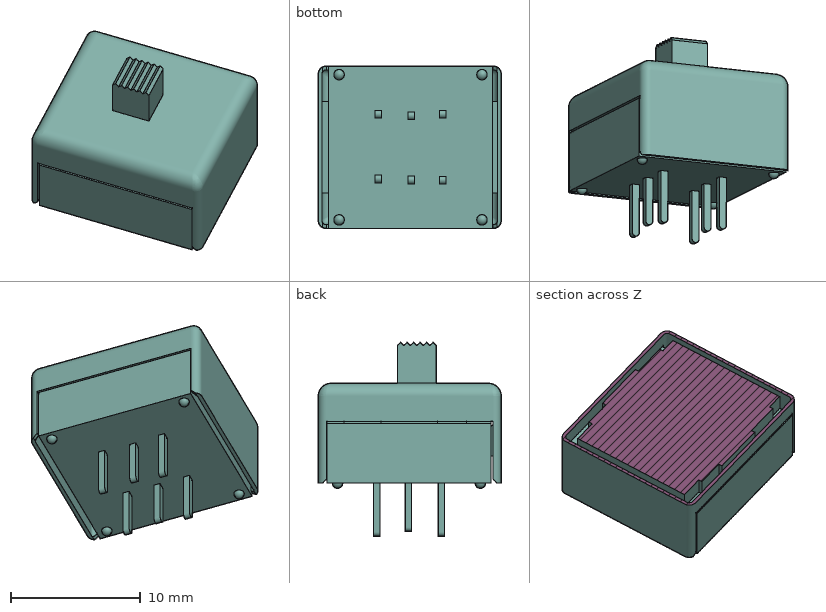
import cadquery as cq

cover_length = 14.1
cover_width = 12.5
cover_height = 7.7
sheet = 0.3
top_radius = 1.0
corner_radius = 0.61
skirt_opening_height = 4.75
flap_width = 0.65
flap_chamfer = 0.33

body_shift = 0.06
body_length = 12.64
body_height = 4.59
core_inset = 1.2
core_step = 0.3
core_shoulders = ((-4.36, 5.05), (-2.14, 2.23))

latch_width = 7.02
latch_bottom = 2.08
latch_top = 4.75
latch_root_top = 4.4

lever_x = -0.55
lever_y = -0.03
lever_side = 3.0
total_height = 14.94
tooth_count = 6

pin_thickness = 0.51
pin_width = 0.6
long_pin = 4.1
short_pin = 3.72
pins = (
    (-2.44, -2.54, long_pin),
    (-2.44, 2.44, long_pin),
    (0.1, -2.42, short_pin),
    (0.1, 2.52, short_pin),
    (2.54, -2.54, long_pin),
    (2.54, 2.54, long_pin),
)

dome_radius = 0.4
dome_x = 5.5
dome_y = 5.59

lever_top = total_height - long_pin
cavity_height = cover_height - sheet


def block(length, width, height, x=0, y=0, z=0):
    """Box centred on (x, y) and standing on height z."""
    return cq.Workplane("XY", origin=(x, y, z)).box(length, width, height, centered=(True, True, False))


def rounded_block(inset):
    """Cover envelope moved inward by inset, with rounded top edges and upright corners."""
    shape = block(cover_length - 2 * inset, cover_width - 2 * inset, cover_height - inset)
    shape = shape.faces(">Z").edges().fillet(top_radius - inset)
    return shape.edges("|Z").fillet(corner_radius - inset)


def make_cover():
    """Thin cover whose front and back are open between four narrow corner flaps."""
    half_opening = cover_length / 2 - flap_width
    opening = (
        cq.Workplane("XZ")
        .moveTo(-half_opening - flap_chamfer, 0)
        .lineTo(-half_opening, flap_chamfer)
        .lineTo(-half_opening, skirt_opening_height)
        .lineTo(half_opening, skirt_opening_height)
        .lineTo(half_opening, flap_chamfer)
        .lineTo(half_opening + flap_chamfer, 0)
        .close()
        .extrude(cover_width, both=True)
    )
    return rounded_block(0).cut(rounded_block(sheet)).cut(opening)


def make_body():
    """Body block with a stepped core that reaches up to the cover roof."""
    body = block(body_length, cover_width, body_height, x=body_shift)
    core_width = cover_width - 2 * core_inset
    core_height = cavity_height - body_height
    core = block(body_length, core_width, core_height, x=body_shift, z=body_height)
    for step, (left, right) in enumerate(core_shoulders, start=1):
        step_width = core_width + 2 * step * core_step
        middle = (left + right) / 2
        core = core.union(block(right - left, step_width, core_height, x=middle, z=body_height))
    return body.union(core.intersect(rounded_block(sheet)))


def make_latch(side):
    """Latch from the body out to the face of the end wall; side is -1 for -X and 1 for +X."""
    root = body_shift + side * body_length / 2
    outer = side * cover_length / 2
    return (
        cq.Workplane("XZ")
        .moveTo(root, latch_bottom)
        .lineTo(outer, latch_bottom)
        .lineTo(outer, latch_top)
        .lineTo(root, latch_root_top)
        .close()
        .extrude(latch_width / 2, both=True)
    )


def make_lever():
    """Square lever with right-angled grip teeth running along Y."""
    pitch = lever_side / tooth_count
    valley = lever_top - pitch / 2
    left = lever_x - lever_side / 2
    plane = cq.Workplane("XZ", origin=(0, lever_y, 0))
    profile = plane.moveTo(left, cavity_height).lineTo(left, valley)
    for tooth in range(tooth_count):
        profile = profile.lineTo(left + (tooth + 0.5) * pitch, lever_top)
        profile = profile.lineTo(left + (tooth + 1) * pitch, valley)
    profile = profile.lineTo(left + lever_side, cavity_height).close()
    return profile.extrude(lever_side / 2, both=True)


def make_pin(x, y, projection):
    """Flat pin with a fully rounded tip."""
    radius = pin_width / 2
    return (
        cq.Workplane("YZ", origin=(x, y, 0))
        .moveTo(-radius, 0)
        .lineTo(-radius, radius - projection)
        .threePointArc((0, -projection), (radius, radius - projection))
        .lineTo(radius, 0)
        .close()
        .extrude(pin_thickness / 2, both=True)
    )


def make_dome(x, y):
    """Ball standoff whose lower half hangs below the body."""
    return cq.Workplane("XY", origin=(x, y, 0)).sphere(dome_radius)


switch = make_cover().union(make_body()).union(make_lever())
for pin in pins:
    switch = switch.union(make_pin(*pin))
for side_x in (-1, 1):
    for side_y in (-1, 1):
        switch = switch.union(make_dome(body_shift + side_x * dome_x, side_y * dome_y))

for side in (-1, 1):
    switch = switch.union(make_latch(side), clean=False)

result = switch